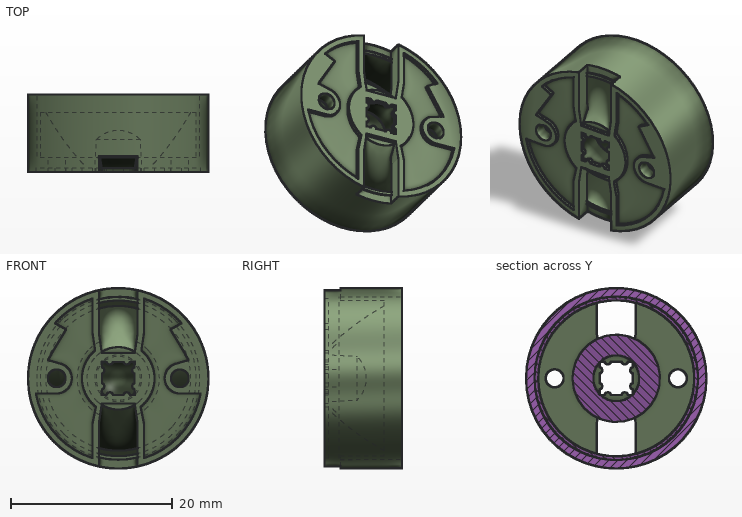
import cadquery as cq
import math


outer_radius = 11.2
depth = 9.63

plate_thickness = 1.84
bore_radius = 10.1
crossbar_thickness = 0.5

slot_depth = 2.0
slot_half_width = 2.4
slot_taper_start = 5.55
crossbar_half_height = 3.11

window_half_size = 2.04
bump_radius = 0.4
bump_center_offset = 0.1
bump_center_distance = window_half_size + bump_center_offset
bump_half_spacing_x = 1.05
bump_half_spacing_z = 0.99

hole_center_x = 7.64
hole_radius = 1.1
boss_radius = 1.88
pocket_depth = 0.5
pocket_outer_radius = 10.4
hub_radius = 4.5
pocket_inner_x = 3.18
hub_corner_x_top = 2.87
hub_corner_x_bottom = 2.78
notch_outer_x = 7.85
notch_corner = (6.47, 6.07)
boss_shoulder = (8.74, 2.26)

tip_radius = 3.88
cone_end_radius = 8.98
cone_end_depth = 7.4
cone_bulge = 0.27
skirt_inner_radius = 9.65
dimple_mouth_radius = 2.91
dimple_floor_radius = 2.73
dimple_floor_depth = 4.03
dome_radius = 3.8

cone_run = cone_end_radius - tip_radius
cone_rise = cone_end_depth - crossbar_thickness
cone_side = math.hypot(cone_run, cone_rise)
cone_mid_radius = (tip_radius + cone_end_radius) / 2 + cone_bulge * cone_rise / cone_side
cone_mid_depth = (crossbar_thickness + cone_end_depth) / 2 - cone_bulge * cone_run / cone_side


def height_on_circle(radius, x):
    """Height of the point at distance x from the centre line on a circle about the axis."""
    return math.sqrt(radius**2 - x**2)


def front_cut(sketch, cut_depth):
    """Extrude an XZ sketch from the front face into the part."""
    return sketch.extrude(-cut_depth)


def make_housing_shell():
    """Cup with a front plate and a bore for the lens skirt."""
    profile = [
        (0, 0),
        (0, outer_radius),
        (depth, outer_radius),
        (depth, bore_radius),
        (plate_thickness, bore_radius),
        (plate_thickness, 0),
    ]
    return cq.Workplane("YZ").polyline(profile).close().revolve(360, (0, 0), (1, 0))


def make_lens_seat():
    """Round recess in the back of the plate, shaped like the side of the lens."""
    return (
        cq.Workplane("YZ")
        .moveTo(crossbar_thickness, 0)
        .lineTo(crossbar_thickness, tip_radius)
        .threePointArc((cone_mid_depth, cone_mid_radius), (cone_end_depth, cone_end_radius))
        .lineTo(cone_end_depth, 0)
        .close()
        .revolve(360, (0, 0), (1, 0))
    )


def make_slot_half():
    """Upper half of the slot, from the crossbar out past the rim."""
    right_side = [
        (window_half_size, crossbar_half_height),
        (slot_half_width, slot_taper_start),
        (slot_half_width, outer_radius),
    ]
    left_side = [(-x, z) for x, z in reversed(right_side)]
    return front_cut(cq.Workplane("XZ").polyline(right_side + left_side).close(), slot_depth)


def make_window():
    """Square window with two round bumps left standing on each side."""
    size = 2 * window_half_size
    window = front_cut(cq.Workplane("XZ").rect(size, size), crossbar_thickness)
    bump_centers = []
    for side in (-1, 1):
        for end in (-1, 1):
            bump_centers.append((side * bump_half_spacing_x, end * bump_center_distance))
            bump_centers.append((side * bump_center_distance, end * bump_half_spacing_z))
    bumps = front_cut(cq.Workplane("XZ").pushPoints(bump_centers).circle(bump_radius), crossbar_thickness)
    return window.cut(bumps)


def make_pocket():
    """Shallow pocket on the +X side, between rim, hub, slot wall and hole boss."""
    shoulder_x, shoulder_z = boss_shoulder
    offset_x = shoulder_x - hole_center_x
    shoulder_angle = math.atan2(shoulder_z, offset_x)
    tangent_angle = shoulder_angle + math.acos(boss_radius / math.hypot(offset_x, shoulder_z))
    boss_tangent = (
        hole_center_x + boss_radius * math.cos(tangent_angle),
        boss_radius * math.sin(tangent_angle),
    )
    rim_z = height_on_circle(pocket_outer_radius, pocket_inner_x)
    notch_z = height_on_circle(pocket_outer_radius, notch_outer_x)
    boss_rim_x = height_on_circle(pocket_outer_radius, boss_radius)
    upper_arc_x = (pocket_inner_x + notch_outer_x) / 2
    lower_arc_x = (pocket_inner_x + boss_rim_x) / 2
    sketch = (
        cq.Workplane("XZ")
        .moveTo(pocket_inner_x, rim_z)
        .threePointArc(
            (upper_arc_x, height_on_circle(pocket_outer_radius, upper_arc_x)),
            (notch_outer_x, notch_z),
        )
        .lineTo(*notch_corner)
        .lineTo(*boss_shoulder)
        .lineTo(*boss_tangent)
        .threePointArc((hole_center_x - boss_radius, 0), (hole_center_x, -boss_radius))
        .lineTo(boss_rim_x, -boss_radius)
        .threePointArc(
            (lower_arc_x, -height_on_circle(pocket_outer_radius, lower_arc_x)),
            (pocket_inner_x, -rim_z),
        )
        .lineTo(pocket_inner_x, -slot_taper_start)
        .lineTo(hub_corner_x_bottom, -height_on_circle(hub_radius, hub_corner_x_bottom))
        .threePointArc((hub_radius, 0), (hub_corner_x_top, height_on_circle(hub_radius, hub_corner_x_top)))
        .lineTo(pocket_inner_x, slot_taper_start)
        .close()
    )
    return front_cut(sketch, pocket_depth)


def make_housing():
    """Shell with the lens seat, slot, window, pockets and side holes cut out."""
    slot_half = make_slot_half()
    pocket = make_pocket()
    hole_centers = [(-hole_center_x, 0), (hole_center_x, 0)]
    holes = front_cut(cq.Workplane("XZ").pushPoints(hole_centers).circle(hole_radius), plate_thickness)
    return (
        make_housing_shell()
        .cut(make_lens_seat())
        .cut(slot_half)
        .cut(slot_half.mirror("XY"))
        .cut(make_window())
        .cut(pocket)
        .cut(pocket.mirror("YZ"))
        .cut(holes)
    )


def make_lens():
    """Bulging conical lens with a dimple in its tip and a thin skirt around the cone."""
    dome_center = dimple_floor_depth - height_on_circle(dome_radius, dimple_floor_radius)
    half_radius = dimple_floor_radius / 2
    profile = (
        cq.Workplane("XY")
        .moveTo(0, depth)
        .lineTo(0, dome_center + dome_radius)
        .threePointArc(
            (half_radius, dome_center + height_on_circle(dome_radius, half_radius)),
            (dimple_floor_radius, dimple_floor_depth),
        )
        .lineTo(dimple_mouth_radius, crossbar_thickness)
        .lineTo(tip_radius, crossbar_thickness)
        .threePointArc((cone_mid_radius, cone_mid_depth), (cone_end_radius, cone_end_depth))
        .lineTo(skirt_inner_radius, cone_end_depth)
        .lineTo(skirt_inner_radius, plate_thickness)
        .lineTo(bore_radius, plate_thickness)
        .lineTo(bore_radius, depth)
        .close()
    )
    return profile.revolve(360, (0, 0), (0, 1))


housing = make_housing()
lens = make_lens()

result = cq.Compound.makeCompound([housing.solids().val(), lens.val()])